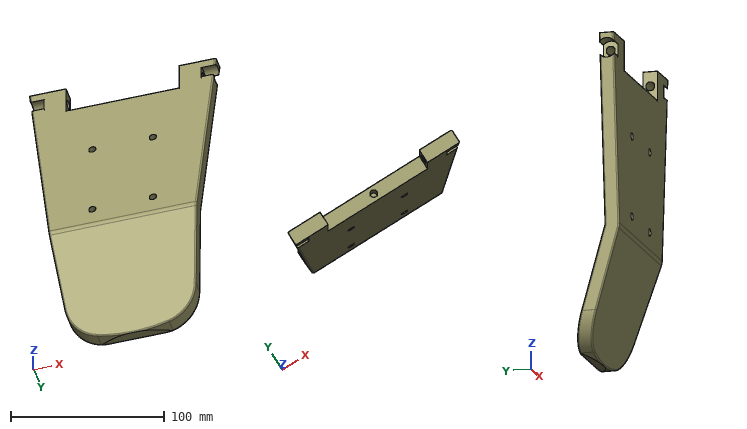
import cadquery as cq
import math

height = 207.5
top_width = 127.1
thickness = 10.0
bend_height = 79.8
bend_angle = 17.6
front_bend_radius = 10.8

corner_half_width = 43.0
corner_height = 8.7
corner_radius = 26.3
edge_break = 1.0

tip_trim = 0.1

gap_width = 77.0
gap_depth = 20.1
tab_thickness = 15.0

pivot_drop = 10.0
pivot_diameter = 6.0
pivot_recess_diameter = 12.9

edge_hole_diameter = 5.0
edge_hole_depth = 10.4

mount_diameter = 4.8
mount_spacing_x = 41.3
mount_spacing_z = 54.1
mount_center_height = 120.5

tip_height = -tip_trim
lean = math.radians(bend_angle)
back_bend_radius = front_bend_radius - thickness
mid_plane = thickness / 2
pivot_height = height - pivot_drop


def bent_slab():
    """Constant-thickness bent plate whose leaning half runs on past the lower end."""
    run_on = bend_height + thickness
    back_bend_height = bend_height + thickness * math.tan(lean / 2)
    slab = (
        cq.Workplane("YZ")
        .moveTo(0, height)
        .lineTo(0, bend_height)
        .line(run_on * math.tan(lean), -run_on)
        .line(thickness * math.cos(lean), thickness * math.sin(lean))
        .lineTo(thickness, back_bend_height)
        .lineTo(thickness, height)
        .close()
        .extrude(top_width / 2, both=True)
    )
    front_bend = cq.selectors.NearestToPointSelector((0, 0, bend_height))
    back_bend = cq.selectors.NearestToPointSelector((0, thickness, back_bend_height))
    slab = slab.edges(front_bend).fillet(front_bend_radius)
    return slab.edges(back_bend).fillet(back_bend_radius)


def outline_block():
    """Tapered outline, taken straight through in Y past the leaning end."""
    depth = thickness + height
    block = (
        cq.Workplane("XZ", origin=(0, -thickness, 0))
        .moveTo(-top_width / 2, height)
        .lineTo(-corner_half_width, corner_height)
        .threePointArc((0, tip_height), (corner_half_width, corner_height))
        .lineTo(top_width / 2, height)
        .close()
        .extrude(-depth)
    )
    return block.edges("|Y").edges("<Z").fillet(corner_radius)


def cylinder_x(diameter, start_x, end_x):
    """Cylinder along X on the pivot axis."""
    return (
        cq.Workplane("YZ", origin=(start_x, mid_plane, pivot_height))
        .circle(diameter / 2)
        .extrude(end_x - start_x)
    )


def rounded_plate():
    """Bent plate cut to the outline, with all its front and back outline edges rounded."""
    plate = bent_slab().intersect(outline_block())
    outline_edges = plate.edges("not (#X or |X)").edges("not |Y")
    return outline_edges.fillet(edge_break)


def end_cut():
    """Block below the lower end, which is square to the leaning half."""
    tip_y = (bend_height - tip_height) * math.tan(lean)
    return (
        cq.Workplane("XY")
        .box(top_width, height, height, centered=(True, True, False))
        .translate((0, 0, -height))
        .rotate((0, 0, 0), (1, 0, 0), bend_angle)
        .translate((0, tip_y, tip_height))
    )


def gap():
    """Opening between the tabs."""
    return cq.Workplane("XY").box(gap_width, height, 2 * gap_depth).translate((0, 0, height))


def pivot_cuts():
    """Bore through both tabs and the round recess outside each of them."""
    tab_outer_x = gap_width / 2 + tab_thickness
    half_width = top_width / 2
    cuts = cylinder_x(pivot_diameter, -half_width, half_width)
    for start_x, end_x in ((-half_width, -tab_outer_x), (tab_outer_x, half_width)):
        cuts = cuts.union(cylinder_x(pivot_recess_diameter, start_x, end_x))
    return cuts


def edge_hole():
    """Blind hole going down from the floor of the gap."""
    return (
        cq.Workplane("XY", origin=(0, mid_plane, height - gap_depth))
        .circle(edge_hole_diameter / 2)
        .extrude(-edge_hole_depth)
    )


def mount_holes():
    """Four straight holes through the upright half of the plate."""
    return (
        cq.Workplane("XZ", origin=(0, 0, mount_center_height))
        .rarray(mount_spacing_x, mount_spacing_z, 2, 2)
        .circle(mount_diameter / 2)
        .extrude(-thickness)
    )


result = rounded_plate()
for cut in (end_cut(), gap(), pivot_cuts(), edge_hole(), mount_holes()):
    result = result.cut(cut)